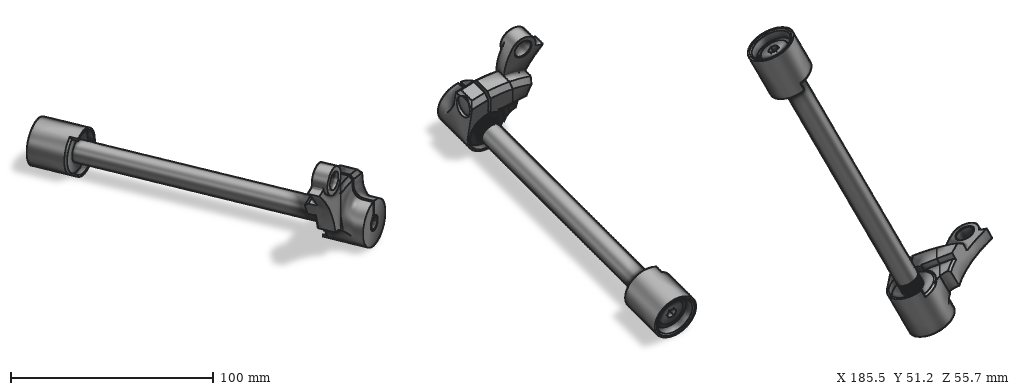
import cadquery as cq
import math

LENGTH = 185.5
CAP_RADIUS = 12.6
CAP_LENGTH = 25.5
ROD_RADIUS = 6.0
NECK_RADIUS = 4.0
ROD_BORE_RADIUS = 3.2

MOUTH_DEPTH = 3.5
MOUTH_RADIUS = 11.5
MOUTH_FLAT_Y = -6.3
MOUTH_CHAMFER = 1.1

SOCKET_RIM_RADIUS = 11.5
SOCKET_RIM_DEPTH = 0.5
SOCKET_TOP_RADIUS = 10.5
SOCKET_FLOOR_RADIUS = 9.6
SOCKET_DEPTH = 4.5
CONE_ANGLE = 10.0
RING_THICKNESS = 1.1
RING_GAP = 1.5
SCREW_RADIUS = 7.5
SCREW_THICKNESS = 3.7
HEX_ACROSS_FLATS = 5.0

COLLAR_LENGTH = 6.1
KNURL_COUNT = 18
KNURL_ROWS = 3
KNURL_WIDTH = 1.0
KNURL_DEPTH = 0.5

PLATE_THICKNESS = 14.1
COVE_RADIUS = 6.0
FRONT_CHAMFER = 2.8
BACK_CHAMFER = 2.0
SPLIT_Y = -14.8
TOP_Z = 24.3
TOP_RADIUS = 68.7
TOP_ARC_Y = -3.0
TOP_CORNER = (8.0, 23.2)
SIDE_CORNER = (9.6, 21.0)
HEEL = (SPLIT_Y, 0.5)
HOLLOW_MIDDLE_Y = -13.4
HOLLOW_MIDDLE_Z = -1.1
HOLLOW_END_Y = -12.0
SLIT_WIDTH = 1.5
SLIT_Y = -0.65

PINCH_X = 167.0
PINCH_Z = 16.9
PINCH_RADIUS = 3.2
PINCH_HEAD_RADIUS = 5.5
PINCH_HEAD_Y = (5.5, 9.3)
PINCH_TIP_Y = -7.5

ARM_THICKNESS = 6.5
ARM_FILLET = 0.7
EYE_Y = -26.5
EYE_Z = 35.5
EYE_RADIUS = 7.6
EYE_HOLE_RADIUS = 4.8
EYE_HOLE_CHAMFER = 0.4
EYE_BOSS_HEIGHT = 2.2
NECK_MIDDLE = (-16.5, 32.0)
EYE_TOP_ANGLE = 90.0
NECK_ANGLE = 40.0
SPUR_ANGLE = 184.0
SPUR_MIDDLE = (-34.3, 33.8)
SPUR_TOP = (-34.9, 33.2)
SPUR_TIP = (-38.6, 32.1)
OUTER_EDGE_TOP = (-35.8, 29.3)
OUTER_EDGE_MIDDLE = (-27.8, 19.7)
SOLE_START = (-20.5, 2.2)
SOLE_MIDDLE = (-17.3, 1.9)

HOUSING_X = LENGTH - CAP_LENGTH
MOUTH_FLOOR_X = HOUSING_X + MOUTH_DEPTH
PLATE_BACK_X = HOUSING_X + PLATE_THICKNESS
ARM_X = PLATE_BACK_X - ARM_THICKNESS
COLLAR_X = MOUTH_FLOOR_X - COLLAR_LENGTH
MOUTH_HALF_HEIGHT = math.sqrt(CAP_RADIUS**2 - MOUTH_FLAT_Y**2)
CONE_SLOPE = math.tan(math.radians(CONE_ANGLE))
MARGIN = 1.9


def yz_plane(x):
    """Sketch plane across the axle, whose local axes are Y and Z."""
    return cq.Workplane("YZ", origin=(x, 0, 0))


def rod_between(x_start, x_end, radius):
    return yz_plane(x_start).circle(radius).extrude(x_end - x_start)


def revolved(points):
    """Turn (X, radius) points around the axle."""
    return cq.Workplane("XY").polyline(points).close().revolve(360, (0, 0, 0), (1, 0, 0))


def box_between(x_range, y_range, z_range):
    sizes = [high - low for low, high in (x_range, y_range, z_range)]
    corner = (x_range[0], y_range[0], z_range[0])
    return cq.Workplane("XY").box(*sizes, centered=False).translate(corner)


def cone_face_x(radius):
    """X of the conical end face of the screw and split ring at a given radius."""
    return SOCKET_DEPTH - (SOCKET_FLOOR_RADIUS - radius) * CONE_SLOPE


def mouth_opening(x_range):
    """Side opening of a mouth, towards -Y."""
    reach = EYE_Y - 2 * EYE_RADIUS
    return box_between(x_range, (reach, MOUTH_FLAT_Y), (-MOUTH_HALF_HEIGHT, MOUTH_HALF_HEIGHT))


def mouth_cut(open_x, inward):
    """Recess, side opening and rim chamfer at open_x; inward is +1 or -1 along X."""
    floor_x = open_x + inward * MOUTH_DEPTH
    x_range = (min(open_x, floor_x), max(open_x, floor_x))
    chamfer_x = floor_x + inward * MOUTH_CHAMFER
    chamfer_range = (min(floor_x, chamfer_x), max(floor_x, chamfer_x))
    rim_chamfer = revolved([
        (floor_x, CAP_RADIUS - MOUTH_CHAMFER),
        (floor_x, CAP_RADIUS),
        (chamfer_x, CAP_RADIUS),
    ]).intersect(mouth_opening(chamfer_range))
    return rod_between(*x_range, MOUTH_RADIUS).union(mouth_opening(x_range)).union(rim_chamfer)


RING_SEAT_X = SOCKET_DEPTH + RING_THICKNESS
SCREW_X = cone_face_x(SCREW_RADIUS)
SCREW_END_X = SCREW_X + SCREW_THICKNESS


def make_cap():
    cap = rod_between(0, CAP_LENGTH, CAP_RADIUS)
    socket = revolved([
        (0, 0),
        (0, SOCKET_RIM_RADIUS),
        (SOCKET_RIM_DEPTH, SOCKET_TOP_RADIUS),
        (SOCKET_DEPTH, SOCKET_FLOOR_RADIUS),
        (RING_SEAT_X, SOCKET_FLOOR_RADIUS),
        (RING_SEAT_X, SCREW_RADIUS),
        (SCREW_END_X, SCREW_RADIUS),
        (SCREW_END_X, 0),
    ])
    bore = rod_between(SCREW_END_X, CAP_LENGTH, ROD_RADIUS)
    return cap.cut(socket).cut(mouth_cut(CAP_LENGTH, -1)).cut(bore)


def make_split_ring():
    ring = revolved([
        (cone_face_x(SCREW_RADIUS), SCREW_RADIUS),
        (SOCKET_DEPTH, SOCKET_FLOOR_RADIUS),
        (RING_SEAT_X, SOCKET_FLOOR_RADIUS),
        (RING_SEAT_X, SCREW_RADIUS),
    ])
    gap = box_between((0, CAP_LENGTH), (0, CAP_RADIUS), (-RING_GAP / 2, RING_GAP / 2))
    return ring.cut(gap)


def make_end_screw():
    screw = revolved([
        (cone_face_x(0), 0),
        (SCREW_X, SCREW_RADIUS),
        (SCREW_END_X, SCREW_RADIUS),
        (SCREW_END_X, 0),
    ])
    hex_across_corners = HEX_ACROSS_FLATS / math.cos(math.pi / 6)
    hexagon = yz_plane(0).polygon(6, hex_across_corners).extrude(CAP_LENGTH)
    return screw.cut(hexagon)


def make_rod():
    shaft = rod_between(SCREW_END_X, COLLAR_X, ROD_RADIUS)
    neck = rod_between(COLLAR_X, LENGTH, NECK_RADIUS)
    bore = rod_between(SCREW_END_X, LENGTH, ROD_BORE_RADIUS)
    return shaft.union(neck).cut(bore)


def make_collar():
    collar = rod_between(COLLAR_X, MOUTH_FLOOR_X, ROD_RADIUS)
    collar = collar.cut(rod_between(COLLAR_X, MOUTH_FLOOR_X, NECK_RADIUS))
    groove_floor = ROD_RADIUS - KNURL_DEPTH
    pitch = COLLAR_LENGTH / KNURL_ROWS
    for row in range(KNURL_ROWS):
        x = COLLAR_X + row * pitch
        groove = rod_between(x, x + KNURL_WIDTH, ROD_RADIUS + MARGIN)
        collar = collar.cut(groove.cut(rod_between(x, x + KNURL_WIDTH, groove_floor)))
    slots = (
        yz_plane(COLLAR_X)
        .polarArray(ROD_RADIUS, 0, 360, KNURL_COUNT)
        .rect(2 * KNURL_DEPTH, KNURL_WIDTH)
        .extrude(COLLAR_LENGTH)
    )
    return collar.cut(slots)


def top_z(y):
    """Height of the falling arc that forms the top of the plate."""
    return TOP_Z - TOP_RADIUS + math.sqrt(TOP_RADIUS**2 - (y - TOP_ARC_Y)**2)


def side_foot():
    """Point (Y, Z) where the plate's side runs tangent into the barrel."""
    corner_y, corner_z = SIDE_CORNER
    corner_angle = math.atan2(corner_z, corner_y)
    angle = corner_angle - math.acos(CAP_RADIUS / math.hypot(corner_y, corner_z))
    return (CAP_RADIUS * math.cos(angle), CAP_RADIUS * math.sin(angle))


def housing_outline():
    hollow_end_z = -math.sqrt(CAP_RADIUS**2 - HOLLOW_END_Y**2)
    arc_middle_y = (TOP_ARC_Y + SPLIT_Y) / 2
    return (
        yz_plane(HOUSING_X)
        .moveTo(0, 0)
        .lineTo(*side_foot())
        .lineTo(*SIDE_CORNER)
        .lineTo(*TOP_CORNER)
        .lineTo(SLIT_Y, TOP_Z)
        .lineTo(TOP_ARC_Y, TOP_Z)
        .threePointArc((arc_middle_y, top_z(arc_middle_y)), (SPLIT_Y, top_z(SPLIT_Y)))
        .lineTo(*HEEL)
        .threePointArc((HOLLOW_MIDDLE_Y, HOLLOW_MIDDLE_Z), (HOLLOW_END_Y, hollow_end_z))
        .close()
    )


def top_edges(body, x):
    """Edges of the top of the plate that lie in the plane at x."""
    reach = 0.2
    low_z = TOP_CORNER[1] - reach
    selector = cq.selectors.BoxSelector(
        (x - reach, SPLIT_Y - reach, low_z - reach),
        (x + reach, TOP_CORNER[0] - reach, TOP_Z + reach),
    )
    return body.edges(selector)


def make_cove():
    """Concave ring between the plate and the barrel."""
    cove_end_x = PLATE_BACK_X + COVE_RADIUS
    cove_top = CAP_RADIUS + COVE_RADIUS
    sag = COVE_RADIUS * (1 - math.sqrt(0.5))
    ring = (
        cq.Workplane("XY")
        .moveTo(PLATE_BACK_X, 0)
        .lineTo(PLATE_BACK_X, cove_top)
        .threePointArc((PLATE_BACK_X + sag, CAP_RADIUS + sag), (cove_end_x, CAP_RADIUS))
        .lineTo(cove_end_x, 0)
        .close()
        .revolve(360, (0, 0, 0), (1, 0, 0))
    )
    return ring.intersect(housing_outline().extrude(CAP_LENGTH))


def make_pinch_screw():
    """Screw that draws the slit together; its shape is also its hole in the housing."""
    head_start, head_end = PINCH_HEAD_Y
    plane = cq.Workplane("XZ", origin=(PINCH_X, head_end, PINCH_Z))
    shank = plane.circle(PINCH_RADIUS).extrude(head_end - PINCH_TIP_Y)
    head = plane.circle(PINCH_HEAD_RADIUS).extrude(head_end - head_start)
    return shank.union(head)


def make_housing():
    plate = housing_outline().extrude(PLATE_THICKNESS)
    plate = top_edges(plate, HOUSING_X).chamfer(FRONT_CHAMFER)
    plate = top_edges(plate, PLATE_BACK_X).chamfer(BACK_CHAMFER)
    barrel = rod_between(HOUSING_X, LENGTH, CAP_RADIUS)
    housing = plate.union(barrel).union(make_cove())

    bore = rod_between(HOUSING_X, LENGTH, NECK_RADIUS)
    slit_sides = (SLIT_Y - SLIT_WIDTH / 2, SLIT_Y + SLIT_WIDTH / 2)
    slit = box_between((HOUSING_X, LENGTH), slit_sides, (0, TOP_Z))
    head_start = PINCH_HEAD_Y[0]
    counterbore = (
        cq.Workplane("XZ", origin=(PINCH_X, CAP_RADIUS + MARGIN, PINCH_Z))
        .circle(PINCH_HEAD_RADIUS)
        .extrude(CAP_RADIUS + MARGIN - head_start)
    )
    housing = housing.cut(mouth_cut(HOUSING_X, 1)).cut(bore).cut(slit)
    return housing.cut(counterbore).cut(make_pinch_screw())


def eye_point(angle):
    """Point on the outside of the eye, as (Y, Z)."""
    turn = math.radians(angle)
    return (EYE_Y + EYE_RADIUS * math.cos(turn), EYE_Z + EYE_RADIUS * math.sin(turn))


def arm_outline(x):
    return (
        yz_plane(x)
        .moveTo(*HEEL)
        .lineTo(SPLIT_Y, top_z(SPLIT_Y))
        .threePointArc(NECK_MIDDLE, eye_point(NECK_ANGLE))
        .threePointArc(eye_point(EYE_TOP_ANGLE), eye_point(SPUR_ANGLE))
        .threePointArc(SPUR_MIDDLE, SPUR_TOP)
        .lineTo(*SPUR_TIP)
        .lineTo(*OUTER_EDGE_TOP)
        .threePointArc(OUTER_EDGE_MIDDLE, SOLE_START)
        .threePointArc(SOLE_MIDDLE, HEEL)
        .close()
    )


def make_foot():
    """Thicker lower part of the hanger, turned about the centre of the plate's top arc."""
    axis_z = TOP_Z - TOP_RADIUS
    fillet_sag = ARM_FILLET * (1 - math.sqrt(0.5))
    turned = (
        cq.Workplane("XZ", origin=(0, TOP_ARC_Y, axis_z))
        .moveTo(HOUSING_X, 0)
        .lineTo(HOUSING_X, TOP_RADIUS - FRONT_CHAMFER)
        .lineTo(HOUSING_X + FRONT_CHAMFER, TOP_RADIUS)
        .lineTo(ARM_X - ARM_FILLET, TOP_RADIUS)
        .threePointArc((ARM_X - fillet_sag, TOP_RADIUS + fillet_sag), (ARM_X, TOP_RADIUS + ARM_FILLET))
        .lineTo(ARM_X, 0)
        .close()
        .revolve(360, (0, 0, 0), (1, 0, 0))
    )
    return arm_outline(HOUSING_X).extrude(ARM_X - HOUSING_X).intersect(turned)


def mouth_floor_edge(body):
    """Edge where the floor of the mouth meets the outer edge of the hanger."""
    reach = 0.2
    selector = cq.selectors.BoxSelector(
        (MOUTH_FLOOR_X - reach, OUTER_EDGE_MIDDLE[0], SOLE_START[1] + reach),
        (MOUTH_FLOOR_X + reach, SOLE_START[0], MOUTH_HALF_HEIGHT - reach),
    )
    return body.edges(selector)


def make_hanger():
    arm = arm_outline(ARM_X).extrude(ARM_THICKNESS)
    eye_depth = ARM_THICKNESS + EYE_BOSS_HEIGHT
    eye = yz_plane(ARM_X).center(EYE_Y, EYE_Z).circle(EYE_RADIUS).extrude(eye_depth)
    hole = yz_plane(ARM_X).center(EYE_Y, EYE_Z).circle(EYE_HOLE_RADIUS).extrude(eye_depth)
    countersink = (
        yz_plane(ARM_X)
        .center(EYE_Y, EYE_Z)
        .circle(EYE_HOLE_RADIUS + EYE_HOLE_CHAMFER)
        .workplane(offset=EYE_HOLE_CHAMFER)
        .circle(EYE_HOLE_RADIUS)
        .loft()
    )
    hanger = arm.union(make_foot()).union(eye)
    hanger = hanger.cut(hole).cut(countersink)
    hanger = hanger.cut(mouth_opening((HOUSING_X, MOUTH_FLOOR_X)))
    return mouth_floor_edge(hanger).chamfer(MOUTH_CHAMFER)


bodies = [
    make_cap(),
    make_split_ring(),
    make_end_screw(),
    make_rod(),
    make_collar(),
    make_housing(),
    make_pinch_screw(),
    make_hanger(),
]
result = cq.Compound.makeCompound([body.val() for body in bodies])